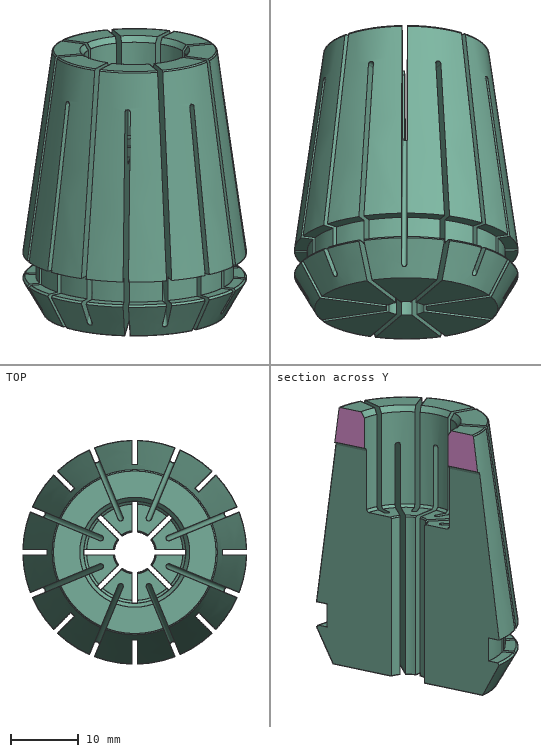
import cadquery as cq
import math


length = 40.0
max_radius = 16.5
body_half_angle = 8.0
top_edge_chamfer = 0.2

nose_radius = 13.5
nose_half_angle = 30.0
rim_chamfer = 0.3

groove_radius = 14.6
groove_bottom = 5.5
groove_top = 9.05

grip_radius = 3.0
grip_chamfer = 0.2
relief_radius = 7.5
relief_floor = 24.5
relief_floor_bevel = 0.4
mouth_radius = 8.1
mouth_chamfer_depth = 0.87

slot_width = 0.8
slots_per_end = 8
slot_pitch = 360 / slots_per_end
nose_slot_top = 34.4
top_slot_exit = 1.45
top_slot_slope = 68.0
clearance = 1.0


def make_body():
    """Revolve the outer and inner profile into the unslotted collet."""
    nose_top = (max_radius - nose_radius) / math.tan(math.radians(nose_half_angle))
    top_radius = max_radius - (length - groove_top) * math.tan(math.radians(body_half_angle))
    edge_height = length - top_edge_chamfer
    edge_radius = top_radius + top_edge_chamfer * math.tan(math.radians(body_half_angle))
    profile = [
        (grip_radius, 0),
        (nose_radius, 0),
        (max_radius, nose_top),
        (max_radius - rim_chamfer, groove_bottom),
        (groove_radius, groove_bottom),
        (groove_radius, groove_top),
        (max_radius, groove_top),
        (edge_radius, edge_height),
        (edge_radius - top_edge_chamfer, length),
        (mouth_radius, length),
        (relief_radius, length - mouth_chamfer_depth),
        (relief_radius, relief_floor + relief_floor_bevel),
        (relief_radius - relief_floor_bevel, relief_floor),
        (grip_radius + grip_chamfer, relief_floor),
        (grip_radius, relief_floor - grip_chamfer),
    ]
    return cq.Workplane("XZ").polyline(profile).close().revolve(360, (0, 0, 0), (0, 1, 0))


def make_nose_slot():
    """Radial slot open at the nose, with a round crown."""
    half_width = slot_width / 2
    return (
        cq.Workplane("YZ")
        .moveTo(-half_width, -clearance)
        .lineTo(half_width, -clearance)
        .lineTo(half_width, nose_slot_top - half_width)
        .threePointArc((0, nose_slot_top), (-half_width, nose_slot_top - half_width))
        .close()
        .extrude(max_radius + clearance)
    )


def make_top_slot():
    """Radial slot open at the top, with a round bottom sloping down and outwards."""
    half_width = slot_width / 2
    slope = math.radians(top_slot_slope)
    exit_radius = nose_radius + top_slot_exit * math.tan(math.radians(nose_half_angle))
    outer_radius = max_radius + clearance
    axis_rise = half_width / math.cos(slope)
    outer_height = top_slot_exit + axis_rise - (outer_radius - exit_radius) * math.tan(slope)
    inner_height = outer_height + outer_radius * math.tan(slope)
    axis_length = outer_radius / math.cos(slope)
    blade = (
        cq.Workplane("XZ")
        .polyline([
            (0, inner_height),
            (outer_radius, outer_height),
            (outer_radius, length + clearance),
            (0, length + clearance),
        ])
        .close()
        .extrude(half_width, both=True)
    )
    round_bottom = cq.Solid.makeCylinder(
        half_width,
        axis_length,
        cq.Vector(0, 0, inner_height),
        cq.Vector(math.cos(slope), 0, -math.sin(slope)),
    )
    return blade.union(cq.Workplane(round_bottom))


def cut_around(body, slot, start_angle):
    """Cut evenly spaced copies of a radial slot."""
    for index in range(slots_per_end):
        angle = start_angle + index * slot_pitch
        body = body.cut(slot.rotate((0, 0, 0), (0, 0, 1), angle))
    return body


result = make_body()
result = cut_around(result, make_nose_slot(), 0)
result = cut_around(result, make_top_slot(), slot_pitch / 2)